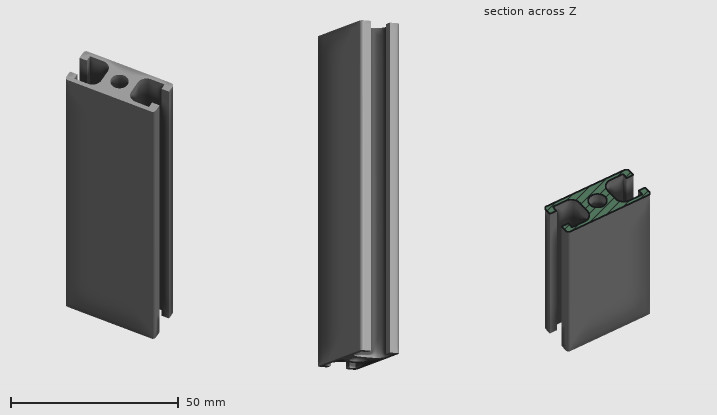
import cadquery as cq

WIDTH = 30.0
DEPTH = 13.0
LENGTH = 100.0

CORNER_RADIUS = 1.0

SLOT_OPENING = 6.2
LIP_THICKNESS = 2.5
WALL_THICKNESS = 1.4
WEB_WIDTH = 10.0
SLOT_FLOOR_RADIUS = 3.0

BORE_DIAMETER = 5.5


def make_body():
    """Rectangular bar with rounded long edges, standing on Z = 0."""
    bar = cq.Workplane("XY").rect(WIDTH, DEPTH).extrude(LENGTH)
    return bar.edges("|Z").fillet(CORNER_RADIUS)


def make_slot(side):
    """T-slot cutter for one narrow side; side is -1 for -X and +1 for +X."""
    outer_x = WIDTH / 2
    cavity_outer_x = outer_x - LIP_THICKNESS
    cavity_floor_x = WEB_WIDTH / 2
    cavity_width = cavity_outer_x - cavity_floor_x
    cavity_height = DEPTH - 2 * WALL_THICKNESS
    cavity_center_x = side * (cavity_outer_x + cavity_floor_x) / 2

    cavity = (
        cq.Workplane("XY")
        .center(cavity_center_x, 0)
        .rect(cavity_width, cavity_height)
        .extrude(LENGTH)
    )
    floor_edges = "|Z and <X" if side > 0 else "|Z and >X"
    cavity = cavity.edges(floor_edges).fillet(SLOT_FLOOR_RADIUS)

    opening_length = outer_x - abs(cavity_center_x)
    opening = (
        cq.Workplane("XY")
        .center(side * (outer_x - opening_length / 2), 0)
        .rect(opening_length, SLOT_OPENING)
        .extrude(LENGTH)
    )
    return cavity.union(opening)


def make_bore():
    """Cutter for the bore along the centre of the web."""
    return cq.Workplane("XY").circle(BORE_DIAMETER / 2).extrude(LENGTH)


result = make_body().cut(make_bore())
for slot_side in (-1, 1):
    result = result.cut(make_slot(slot_side))